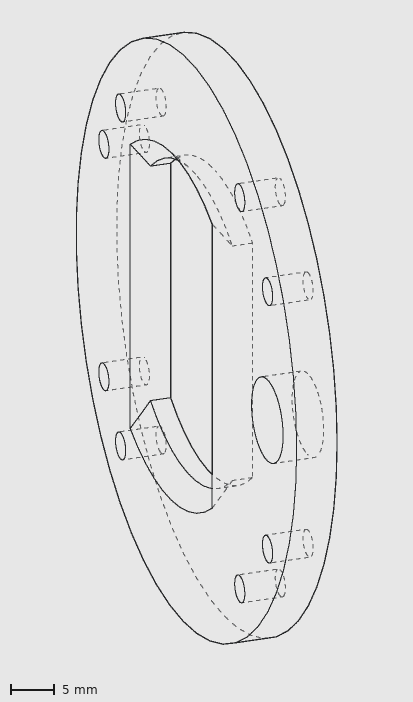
import cadquery as cq

disk_diameter = 70.0
thickness = 5.0

window_center_x = -4.8
window_width = 26.0
arc_radius = 21.0
arc_center_offset = 2.0
flare_size = thickness / 2

cable_hole_diameter = 10.0
cable_hole_x = 25.7
screw_hole_diameter = 3.2
screw_holes = [(16.95, 24.15), (25.75, 15.9), (-20.85, 20.85), (-26.2, 14.35)]


def cylinder_along_y(diameter, x, z):
    """Cylinder through the full thickness of the disk."""
    return cq.Workplane("XZ").center(x, z).circle(diameter / 2).extrude(-thickness)


def flared_bore(center_z):
    """Round bore, straight at the rear and widening conically toward the front face."""
    flared_radius = arc_radius + flare_size
    profile = (
        cq.Workplane("XY")
        .moveTo(0, 0)
        .lineTo(flared_radius, 0)
        .lineTo(arc_radius, flare_size)
        .lineTo(arc_radius, thickness)
        .lineTo(0, thickness)
        .close()
    )
    bore = profile.revolve(360, (0, 0, 0), (0, 1, 0))
    return bore.translate((window_center_x, 0, center_z))


def window():
    """Overlap of two flared bores, cut off by the straight sides."""
    side_limits = (
        cq.Workplane("XZ")
        .center(window_center_x, 0)
        .rect(window_width, disk_diameter)
        .extrude(-thickness)
    )
    lower_arc_bore = flared_bore(arc_center_offset)
    upper_arc_bore = flared_bore(-arc_center_offset)
    return side_limits.intersect(lower_arc_bore).intersect(upper_arc_bore)


result = cylinder_along_y(disk_diameter, 0, 0)
result = result.cut(window())
result = result.cut(cylinder_along_y(cable_hole_diameter, cable_hole_x, 0))
for x, height in screw_holes:
    for z in (height, -height):
        result = result.cut(cylinder_along_y(screw_hole_diameter, x, z))